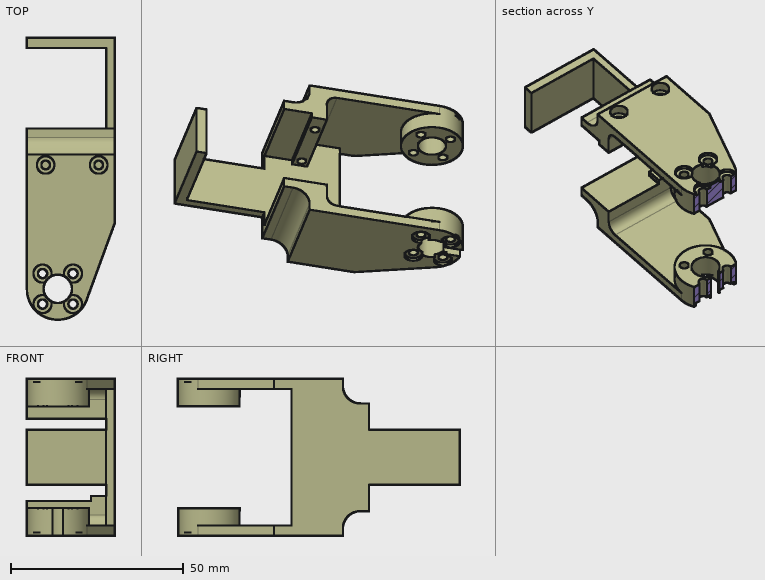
import cadquery as cq
import math


length = 81.8
width = 25.5
height = 45.6

plate = 3.0
hub_radius = 9.0
hub_height = 8.0
bore_diameter = 8.2
slot_width = 3.0
taper_start_y = 19.0

screw_spacing = 8.8
screw_hole = 2.6
screw_head = 5.2
screw_head_depth = 1.0

wall = 2.5
wall_front_y = 24.0
tongue_height = 16.0

block_front_y = 33.8
block_back_y = 46.55
lip_length = 7.6
lip_level = 7.1
cove_radius = 5.0
inner_fillet = 3.0
ledge_length = 4.5
ledge_depth = 1.5
lower_ledge_x = 9.6

block_screw_spacing = 15.4
block_screw_x = -3.5
block_screw_y = 35.9
block_screw_hole = 2.5
block_screw_head = 5.1
block_screw_head_depth = 3.0

x_min = -hub_radius
x_max = x_min + width
y_max = length - hub_radius
z_top = height / 2
wall_x = x_max - wall
plate_back_y = block_back_y - lip_length
ledge_back_y = block_front_y + ledge_length
lip_z = z_top - lip_level
block_z = lip_z - plate
ledge_z = block_z - ledge_depth
plate_z = z_top - plate
block_depth = z_top - ledge_z


def box(x0, x1, y0, y1, z0, z1):
    """Box between two opposite corners."""
    return cq.Workplane("XY").box(x1 - x0, y1 - y0, z1 - z0, centered=False).translate((x0, y0, z0))


def arm_plate():
    """Upper plate from the hub axis back, with a +X side that tapers tangentially to the hub."""
    corner_distance = math.hypot(x_max, taper_start_y)
    tangent_angle = math.atan2(taper_start_y, x_max) - math.acos(hub_radius / corner_distance)
    tangent = (hub_radius * math.cos(tangent_angle), hub_radius * math.sin(tangent_angle))
    return (
        cq.Workplane("XY", origin=(0, 0, plate_z))
        .moveTo(x_min, 0)
        .lineTo(0, 0)
        .lineTo(*tangent)
        .lineTo(x_max, taper_start_y)
        .lineTo(x_max, plate_back_y)
        .lineTo(x_min, plate_back_y)
        .close()
        .extrude(plate)
    )


def block():
    """Upper mounting block: coved back lip, ledge underneath and fillet into the plate."""
    arc_inset = 1 - math.cos(math.radians(45))
    cove_offset = cove_radius * arc_inset
    fillet_offset = inner_fillet * arc_inset
    return (
        cq.Workplane("YZ", origin=(x_min, 0, 0))
        .moveTo(plate_back_y, z_top)
        .lineTo(plate_back_y, lip_z + cove_radius)
        .threePointArc(
            (plate_back_y + cove_offset, lip_z + cove_offset),
            (plate_back_y + cove_radius, lip_z),
        )
        .lineTo(block_back_y, lip_z)
        .lineTo(block_back_y, block_z)
        .lineTo(ledge_back_y, block_z)
        .lineTo(ledge_back_y, ledge_z)
        .lineTo(block_front_y, ledge_z)
        .lineTo(block_front_y, plate_z - inner_fillet)
        .threePointArc(
            (block_front_y - fillet_offset, plate_z - fillet_offset),
            (block_front_y - inner_fillet, plate_z),
        )
        .lineTo(block_front_y - inner_fillet, z_top)
        .close()
        .extrude(width)
    )


def arm():
    """Upper arm with its hub, bore and counterbored hub screws."""
    hub = cq.Workplane("XY", origin=(0, 0, z_top - hub_height)).circle(hub_radius).extrude(hub_height)
    return (
        arm_plate()
        .union(block())
        .union(hub)
        .cut(cq.Workplane("XY").circle(bore_diameter / 2).extrude(height))
        .copyWorkplane(cq.Workplane("XY", origin=(0, 0, z_top)))
        .rarray(screw_spacing, screw_spacing, 2, 2)
        .cboreHole(screw_hole, screw_head, screw_head_depth)
    )


def upper_arm():
    """Arm with two counterbored screw holes through its block."""
    screw_points = [(x, block_screw_y) for x in (block_screw_x, block_screw_x + block_screw_spacing)]
    return (
        arm()
        .copyWorkplane(cq.Workplane("XY", origin=(0, 0, z_top)))
        .pushPoints(screw_points)
        .cboreHole(block_screw_hole, block_screw_head, block_screw_head_depth, block_depth)
    )


def lower_arm():
    """Mirrored arm with a slotted hub and a ledge kept only beside the wall."""
    slot = box(-slot_width / 2, slot_width / 2, -hub_radius, 0, -z_top, 0)
    ledge_cut = box(x_min, lower_ledge_x, block_front_y, ledge_back_y, -block_z, -ledge_z)
    return arm().mirror("XY").cut(slot).cut(ledge_cut)


def frame():
    """Side wall joining the arms, with a tongue that ends in a flange."""
    front_wall = box(wall_x, x_max, wall_front_y, block_front_y, -plate_z, plate_z)
    back_wall = box(wall_x, x_max, block_front_y, block_back_y, -block_z, block_z)
    half = tongue_height / 2
    tongue = box(wall_x, x_max, wall_front_y, y_max, -half, half)
    flange = box(x_min, x_max, y_max - plate, y_max, -half, half)
    return front_wall.union(back_wall).union(tongue).union(flange)


result = upper_arm().union(lower_arm()).union(frame())